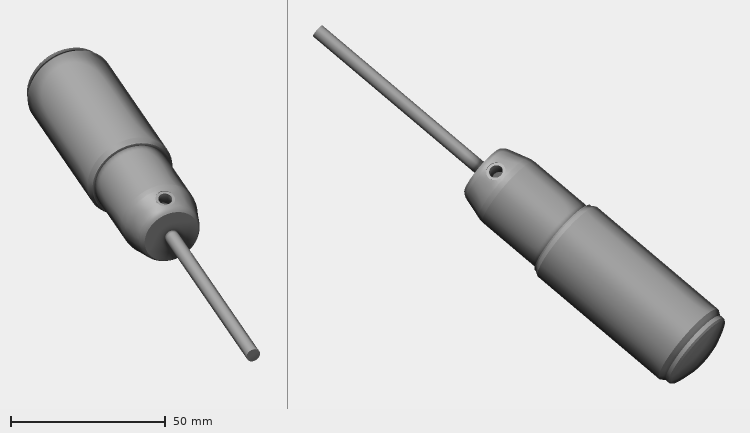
import cadquery as cq
import math

total_length = 166.8

sleeve_radius = 14.76
sleeve_lip_radius = 13.3
sleeve_start = 5.2
sleeve_end = 61.4
front_chamfer_length = 2.0
rear_chamfer_length = 1.5
sleeve_rear_radius = 13.8
sleeve_rear_band = 0.5

dome_height = 2.3
dome_radius = 11.3
bevel_radius = 13.2
bevel_end = 3.2
flange_start = 3.8
flange_radius = 13.7

housing_radius = 12.93
housing_end = 95.5
taper_angle = math.radians(16.5)
bend_start = 84.5
bend_length = 2.0
taper_end = 93.5
end_face_radius = 9.3

ring_x = 90.2
ring_outer_radius = 3.2
ring_inner_radius = 2.25
ring_recess = 0.3
ring_depth = 5.0

cable_radius = 2.3
cable_start = 86.7


def turned(profile):
    """Close an outline in the XY plane down to the axis and turn it about X."""
    return profile.close().revolve(360, (0, 0, 0), (1, 0, 0))


def make_lens():
    sphere_radius = (dome_radius**2 + dome_height**2) / (2 * dome_height)
    middle_radius = dome_radius / 2
    middle_x = sphere_radius - math.sqrt(sphere_radius**2 - middle_radius**2)
    return turned(
        cq.Workplane("XY")
        .moveTo(0, 0)
        .threePointArc((middle_x, middle_radius), (dome_height, dome_radius))
        .lineTo(bevel_end, bevel_radius)
        .lineTo(flange_start, flange_radius)
        .lineTo(sleeve_start, flange_radius)
        .lineTo(sleeve_start, 0)
    )


def make_sleeve():
    rear_chamfer_end = sleeve_end - sleeve_rear_band
    return turned(
        cq.Workplane("XY")
        .moveTo(sleeve_start, 0)
        .lineTo(sleeve_start, sleeve_lip_radius)
        .lineTo(sleeve_start + front_chamfer_length, sleeve_radius)
        .lineTo(rear_chamfer_end - rear_chamfer_length, sleeve_radius)
        .lineTo(rear_chamfer_end, sleeve_rear_radius)
        .lineTo(sleeve_end, sleeve_rear_radius)
        .lineTo(sleeve_end, 0)
    )


bend_radius = bend_length / math.sin(taper_angle)
bend_end = bend_start + bend_length


def bend_point(angle):
    drop = bend_radius * (1 - math.cos(angle))
    return bend_start + bend_radius * math.sin(angle), housing_radius - drop


def taper_radius(x):
    return bend_point(taper_angle)[1] - (x - bend_end) * math.tan(taper_angle)


def along_ring_axis(radius, top_depth, bottom_depth):
    """Cylinder square to the top of the taper at ring_x, between two depths below its surface."""
    inward = cq.Vector(-math.sin(taper_angle), 0, -math.cos(taper_angle))
    seat = cq.Vector(ring_x, 0, taper_radius(ring_x))
    top = seat + inward * top_depth
    return cq.Workplane(cq.Solid.makeCylinder(radius, bottom_depth - top_depth, top, inward))


def make_cable():
    return (
        cq.Workplane("YZ", origin=(cable_start, 0, 0))
        .circle(cable_radius)
        .extrude(total_length - cable_start)
    )


def make_ring():
    tube = along_ring_axis(ring_outer_radius, ring_recess, ring_depth)
    return tube.cut(along_ring_axis(ring_inner_radius, ring_recess, ring_depth))


def make_housing(cable):
    blank = turned(
        cq.Workplane("XY")
        .moveTo(sleeve_end, 0)
        .lineTo(sleeve_end, housing_radius)
        .lineTo(bend_start, housing_radius)
        .threePointArc(bend_point(taper_angle / 2), bend_point(taper_angle))
        .lineTo(taper_end, taper_radius(taper_end))
        .tangentArcPoint((housing_end, end_face_radius), relative=False)
        .lineTo(housing_end, 0)
    )
    return blank.cut(along_ring_axis(ring_outer_radius, 0, ring_depth)).cut(cable)


lens = make_lens()
sleeve = make_sleeve()
cable = make_cable()
ring = make_ring()
housing = make_housing(cable)

result = cq.Compound.makeCompound(
    [lens.val(), sleeve.val(), housing.val(), ring.val(), cable.val()]
)